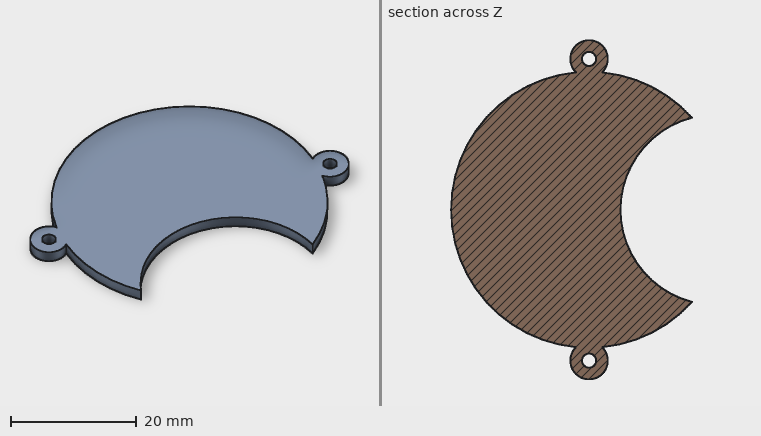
import cadquery as cq

overall_length = 54.0
thickness = 2.0
disc_radius = 22.0
bite_radius = 15.1
bite_depth_from_center = 5.0
lug_diameter = 6.0
hole_diameter = 2.2

bite_center_x = bite_depth_from_center + bite_radius
lug_center_y = (overall_length - lug_diameter) / 2
lug_centers = [(0, lug_center_y), (0, -lug_center_y)]


def crescent():
    """Round plate with a circular bite taken out of its +X side."""
    disc = cq.Workplane("XY").circle(disc_radius).extrude(thickness)
    bite = cq.Workplane("XY").center(bite_center_x, 0).circle(bite_radius).extrude(thickness)
    return disc.cut(bite)


def cylinders_at_lugs(diameter):
    """Full-thickness cylinders at both lug centres."""
    return cq.Workplane("XY").pushPoints(lug_centers).circle(diameter / 2).extrude(thickness)


result = crescent().union(cylinders_at_lugs(lug_diameter)).cut(cylinders_at_lugs(hole_diameter))